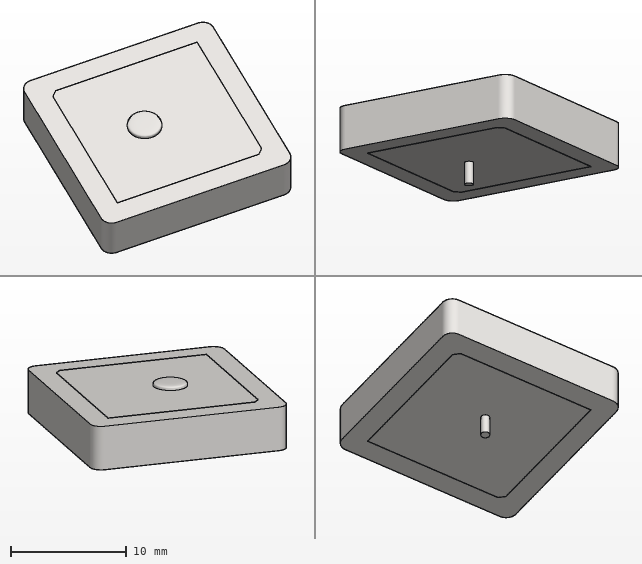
import cadquery as cq

body_x = 18.0
body_y = 18.01
body_height = 3.98
corner_radius = 1.0

plate_side = 14.0
plate_thickness = 0.04
plate_corner_cut = 0.5

pin_x = -0.13
pin_y = -1.15
pin_diameter = 0.8
pin_length_below_body = 2.02
head_diameter = 3.03

overall_height = 6.38
head_top_z = overall_height - pin_length_below_body
plate_top_z = body_height + plate_thickness
head_height = head_top_z - plate_top_z


def make_body():
    body = cq.Workplane("XY").box(body_x, body_y, body_height, centered=(True, True, False))
    return body.edges("|Z").fillet(corner_radius)


def make_plate(bottom_z):
    """Square plate with its (+X, +Y) and (-X, -Y) corners cut off."""
    half = plate_side / 2
    cut = half - plate_corner_cut
    outline = [
        (-half, -cut),
        (-cut, -half),
        (half, -half),
        (half, cut),
        (cut, half),
        (-half, half),
    ]
    return cq.Workplane("XY").workplane(offset=bottom_z).polyline(outline).close().extrude(plate_thickness)


def make_pin():
    """Round pin from its lower tip up to the underside of the head."""
    return (
        cq.Workplane("XY", origin=(pin_x, pin_y, -pin_length_below_body))
        .circle(pin_diameter / 2)
        .extrude(pin_length_below_body + plate_top_z)
    )


def make_head():
    """Button on the top plate: an upright rim curving smoothly into a nearly flat crown."""
    head_radius = head_diameter / 2
    rim = (head_radius, 0)
    shoulder = (head_radius, head_height)
    crown = (0, head_height)
    return (
        cq.Workplane("XZ", origin=(pin_x, pin_y, plate_top_z))
        .moveTo(0, 0)
        .lineTo(*rim)
        .bezier([rim, shoulder, shoulder, crown])
        .close()
        .revolve(360, (0, 0), (0, 1))
    )


top_plate = make_plate(body_height)
bottom_plate = make_plate(-plate_thickness)
result = make_body().union(top_plate).union(bottom_plate).union(make_pin()).union(make_head())